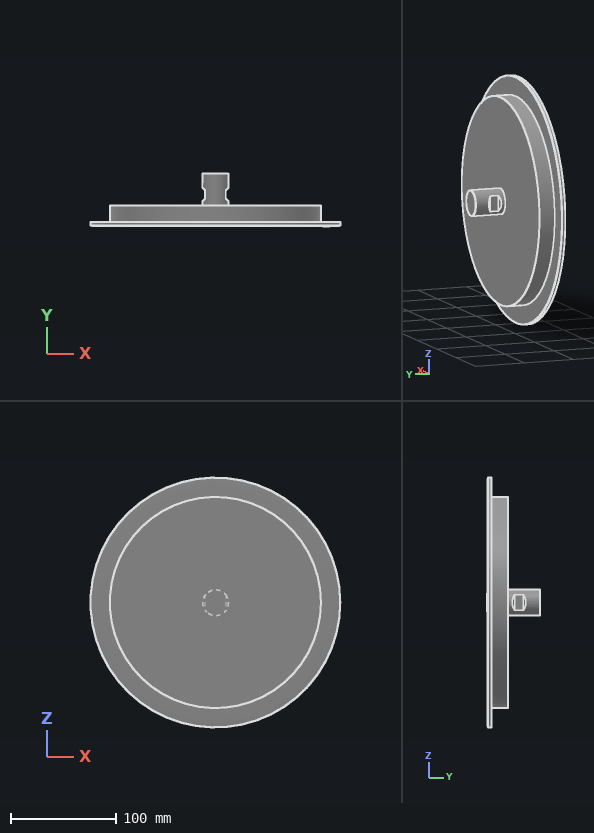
import cadquery as cq
import math


TOTAL_DEPTH = 50.51
FLANGE_DIAMETER = 238.1
BODY_DIAMETER = 201.0
STEM_DIAMETER = 25.0

FLANGE_BACK = 4.5
BODY_BACK = 20.15

PANEL_RADIUS = 100.2
CROWN_RADIUS = 150.0
CREST_RADIUS = 105.3
PANEL_RECESS = 0.4

FLANGE_CHAMFER = 0.5
BODY_CHAMFER = 0.3
STEM_CHAMFER = 0.5

ACROSS_FLATS = 20.0
FLAT_LENGTH = 8.0
FLAT_CENTER = 30.5


def crown_height(radius):
    """Y of the crowned ring at a distance from the axis; it is zero on the crest."""
    return CROWN_RADIUS - math.sqrt(CROWN_RADIUS**2 - (radius - CREST_RADIUS) ** 2)


def turned_body():
    """Panel, flange, body and stem as one revolved outline."""
    flange_radius = FLANGE_DIAMETER / 2
    body_radius = BODY_DIAMETER / 2
    stem_radius = STEM_DIAMETER / 2
    crown_inner_radius = PANEL_RADIUS + PANEL_RECESS
    crown_outer_radius = flange_radius - FLANGE_CHAMFER
    crown_inner_edge = crown_height(crown_inner_radius)
    crown_outer_edge = crown_height(crown_outer_radius)
    panel_front = crown_inner_edge + PANEL_RECESS
    return (
        cq.Workplane("XY")
        .moveTo(0, panel_front)
        .lineTo(PANEL_RADIUS, panel_front)
        .lineTo(crown_inner_radius, crown_inner_edge)
        .threePointArc((CREST_RADIUS, 0), (crown_outer_radius, crown_outer_edge))
        .lineTo(flange_radius, crown_outer_edge + FLANGE_CHAMFER)
        .lineTo(flange_radius, FLANGE_BACK - FLANGE_CHAMFER)
        .lineTo(flange_radius - FLANGE_CHAMFER, FLANGE_BACK)
        .lineTo(body_radius, FLANGE_BACK)
        .lineTo(body_radius, BODY_BACK - BODY_CHAMFER)
        .lineTo(body_radius - BODY_CHAMFER, BODY_BACK)
        .lineTo(stem_radius, BODY_BACK)
        .lineTo(stem_radius, TOTAL_DEPTH - STEM_CHAMFER)
        .lineTo(stem_radius - STEM_CHAMFER, TOTAL_DEPTH)
        .lineTo(0, TOTAL_DEPTH)
        .close()
        .revolve(360, (0, 0, 0), (0, 1, 0))
    )


def flat_cutter(side):
    """Trapezoidal groove with 45 degree ends that cuts one wrench flat; side is -1 or 1."""
    stem_radius = STEM_DIAMETER / 2
    flat_x = ACROSS_FLATS / 2
    half_floor = FLAT_LENGTH / 2
    half_mouth = half_floor + stem_radius - flat_x
    return (
        cq.Workplane("XY")
        .polyline(
            [
                (side * flat_x, FLAT_CENTER - half_floor),
                (side * flat_x, FLAT_CENTER + half_floor),
                (side * stem_radius, FLAT_CENTER + half_mouth),
                (side * stem_radius, FLAT_CENTER - half_mouth),
            ]
        )
        .close()
        .extrude(stem_radius, both=True)
    )


result = turned_body()
for side in (-1, 1):
    result = result.cut(flat_cutter(side))